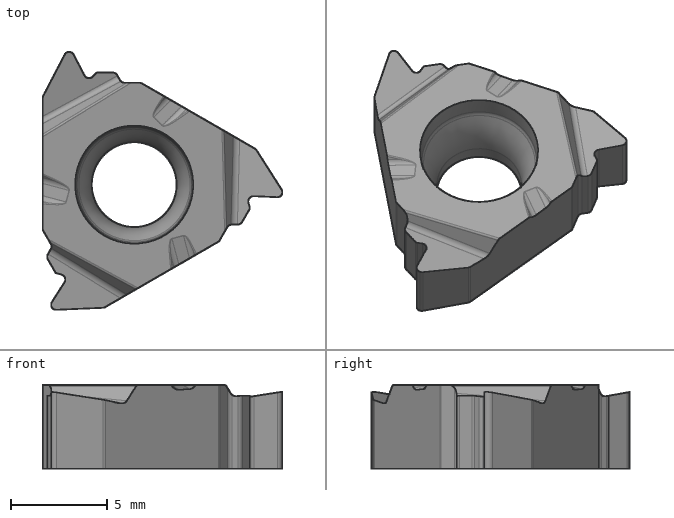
import cadquery as cq
import math

corner_count = 3
corner_pitch = 360.0 / corner_count
thickness = 4.35
inscribed_radius = 4.76
cutter_size = 26.8

tooth_half_angle = 27.5
tooth_apex_x = -3.38
tooth_apex_y = 7.21
tooth_tip_radius = 0.27
flank_blend_radius = 0.27

valley_y = 5.53
valley_width = 0.27
valley_radius = 0.25
valley_rise_angle = 45.0
crest_y = 5.83
crest_end_x = -0.96
crest_radius = 0.15
step_angle = 60.0
step_radius = 0.28
relief_y = 5.29
relief_corner_radius = 0.17

rake_angle = 10.0
rake_tip_y = 6.9
rake_tip_depth = 0.36
wall_start_y = 2.59
wall_heading = 31.5
wall_lean = 32.0
chip_floor_radius = 0.34
chip_rim_radius = 0.13

bore_radius = 4.4 / 2
seat_rim_radius = 3.07
seat_taper = 5.0
seat_taper_depth = 1.03
seat_blend_radius = 0.47
seat_throat_angle = 35.0

notch_end_x = -3.47
notch_end_y = -0.59
notch_heading = 15.0
notch_slope = 10.0
notch_floor_width = 0.95
notch_wall_angle = 45.0
notch_radius = 0.4
notch_depth = 0.54
notch_length = 2.68
notch_rim_radius = 0.11
notch_rim_reach = 1.34
notch_rim_margin = 0.07


def sin_deg(angle):
    return math.sin(math.radians(angle))


def cos_deg(angle):
    return math.cos(math.radians(angle))


def tan_deg(angle):
    return math.tan(math.radians(angle))


def turned(point, angle):
    """Rotate an XY point about the origin."""
    x, y = point
    return (x * cos_deg(angle) - y * sin_deg(angle), x * sin_deg(angle) + y * cos_deg(angle))


def nearest_edge(solid, point):
    vertex = cq.Vertex.makeVertex(*point)
    return min(solid.Edges(), key=lambda edge: edge.distance(vertex))


def corner_angles():
    return [-index * corner_pitch for index in range(corner_count)]


def corner_outline():
    """Sharp corners of the outline of the +Y corner, each with its blend radius."""
    spread = tan_deg(tooth_half_angle)
    side_x = -inscribed_radius
    tooth_start_y = tooth_apex_y - (tooth_apex_x - side_x) / spread
    valley_start_x = tooth_apex_x + (tooth_apex_y - valley_y) * spread
    valley_end_x = valley_start_x + valley_width
    crest_start_x = valley_end_x + (crest_y - valley_y) / tan_deg(valley_rise_angle)
    step_foot_x = crest_end_x + (crest_y - relief_y) / tan_deg(step_angle)
    side_normal = 180.0 - corner_pitch
    relief_end_x = (inscribed_radius - relief_y * sin_deg(side_normal)) / cos_deg(side_normal)
    return [
        ((side_x, tooth_start_y), flank_blend_radius),
        ((tooth_apex_x, tooth_apex_y), tooth_tip_radius),
        ((valley_start_x, valley_y), valley_radius),
        ((valley_end_x, valley_y), valley_radius),
        ((crest_start_x, crest_y), crest_radius),
        ((crest_end_x, crest_y), step_radius),
        ((step_foot_x, relief_y), step_radius),
        ((relief_end_x, relief_y), relief_corner_radius),
    ]


def insert_blank():
    corners = [
        (turned(point, angle), radius)
        for angle in corner_angles()
        for point, radius in corner_outline()
    ]
    blank = cq.Workplane("XY").polyline([point for point, _ in corners]).close().extrude(thickness)
    for (x, y), radius in corners:
        upright_edge = cq.NearestToPointSelector((x, y, thickness / 2))
        blank = blank.edges("|Z").edges(upright_edge).fillet(radius)
    return blank


def wall_foot_y():
    """Y where the chip floor meets the back wall on the side face x = -inscribed_radius."""
    floor_fall = tan_deg(rake_angle)
    wall_run = tan_deg(wall_lean) / cos_deg(wall_heading)
    fixed_depth = rake_tip_depth + floor_fall * rake_tip_y
    return (wall_start_y + wall_run * fixed_depth) / (1 + wall_run * floor_fall)


def chip_cutter():
    """Space above the chip floor and outside the back wall of the +Y corner."""
    above_floor = (
        cq.Workplane("XY")
        .box(cutter_size, cutter_size, cutter_size, centered=(True, True, False))
        .rotate((0, 0, 0), (1, 0, 0), rake_angle)
        .translate((0, rake_tip_y, thickness - rake_tip_depth))
    )
    outside_wall = (
        cq.Workplane("XY")
        .box(cutter_size, cutter_size, cutter_size, centered=(True, False, True))
        .rotate((0, 0, 0), (1, 0, 0), wall_lean)
        .rotate((0, 0, 0), (0, 0, 1), wall_heading)
        .translate((-inscribed_radius, wall_start_y, thickness))
    )
    cutter = above_floor.intersect(outside_wall).val()
    foot_y = wall_foot_y()
    foot_z = thickness - rake_tip_depth + (foot_y - rake_tip_y) * tan_deg(rake_angle)
    foot_edge = nearest_edge(cutter, (-inscribed_radius, foot_y, foot_z))
    return cutter.fillet(chip_floor_radius, [foot_edge])


def chip_rim_edge(body, angle):
    """Top edge of the back wall of the corner turned by the given angle."""
    x, y = -inscribed_radius, wall_start_y
    run = inscribed_radius / 2
    rim_point = turned((x + run, y + run * tan_deg(wall_heading)), angle)
    return nearest_edge(body, (*rim_point, thickness))


def cut_chip_faces(body):
    cutter = chip_cutter()
    for angle in corner_angles():
        body = body.cut(cutter.rotate((0, 0, 0), (0, 0, 1), angle))
    for angle in corner_angles():
        body = body.fillet(chip_rim_radius, [chip_rim_edge(body, angle)])
    return body


def screw_hole():
    """Tapered seat, concave blend and convex throat running tangent into the bore."""
    taper_end_radius = seat_rim_radius - seat_taper_depth * tan_deg(seat_taper)
    taper_end_z = thickness - seat_taper_depth

    def blend_point(angle):
        return (
            taper_end_radius - seat_blend_radius * (cos_deg(seat_taper) - cos_deg(angle)),
            taper_end_z - seat_blend_radius * (sin_deg(angle) - sin_deg(seat_taper)),
        )

    blend_end_radius, blend_end_z = blend_point(seat_throat_angle)
    throat_radius = (blend_end_radius - bore_radius) / (1 - cos_deg(seat_throat_angle))
    throat_end_z = blend_end_z - throat_radius * sin_deg(seat_throat_angle)
    throat_middle = (
        bore_radius + throat_radius * (1 - cos_deg(seat_throat_angle / 2)),
        throat_end_z + throat_radius * sin_deg(seat_throat_angle / 2),
    )
    return (
        cq.Workplane("XZ")
        .moveTo(0, thickness)
        .lineTo(seat_rim_radius, thickness)
        .lineTo(taper_end_radius, taper_end_z)
        .threePointArc(blend_point((seat_taper + seat_throat_angle) / 2), (blend_end_radius, blend_end_z))
        .threePointArc(throat_middle, (bore_radius, throat_end_z))
        .lineTo(bore_radius, 0)
        .lineTo(0, 0)
        .close()
        .revolve(360, (0, 0), (0, 1))
        .val()
    )


def notch_cutter():
    """Trough that starts at the top face and deepens toward the side face x = -inscribed_radius."""
    half_floor = notch_floor_width / 2
    half_top = half_floor + notch_depth / tan_deg(notch_wall_angle)
    trough = (
        cq.Workplane("YZ")
        .polyline([(-half_floor, 0), (half_floor, 0), (half_top, notch_depth), (-half_top, notch_depth)])
        .close()
        .extrude(notch_length, both=True)
        .edges("|X and <Z")
        .fillet(notch_radius)
    )
    return (
        trough.rotate((0, 0, 0), (0, 1, 0), -notch_slope)
        .rotate((0, 0, 0), (0, 0, 1), -notch_heading)
        .translate((notch_end_x, notch_end_y, thickness))
        .val()
    )


def cut_notches(body):
    cutter = notch_cutter()
    rims = cq.selectors.BoxSelector(
        (-inscribed_radius + notch_rim_margin, -notch_rim_reach, thickness - notch_rim_margin),
        (notch_end_x - notch_rim_margin, notch_rim_reach, thickness + notch_rim_margin),
    )
    for _ in range(corner_count):
        notched = cq.Workplane("XY").newObject([body.cut(cutter)])
        body = notched.edges(rims).fillet(notch_rim_radius).val()
        body = body.rotate((0, 0, 0), (0, 0, 1), corner_pitch)
    return body


insert = cut_chip_faces(insert_blank().val())
insert = cut_notches(insert)
result = cq.Workplane("XY").newObject([insert.cut(screw_hole())])